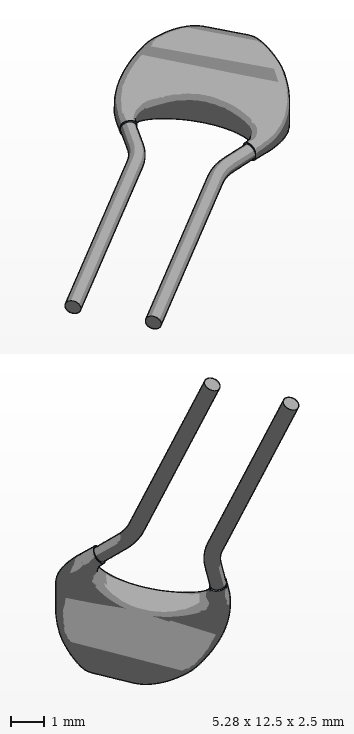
import cadquery as cq
import math

total_length = 12.5
body_half_width = 2.64
through_length = 15.0
parallel_limit = 0.999
plane_tolerance = 0.002

shoulder_angle = math.radians(45)
tip_radius = 1.46
flank_radius = 2.21
flank_y = -2.92
arch_radius = 2.64
arch_top_y = -3.0
arch_corner_radius = 0.44

bulb_radius = 1.25
bulb_y = -1.12
neck_angle = math.radians(33)
foot_half_thickness = 0.3
edge_radius = 0.24

lead_radius = 0.25
lead_half_pitch = 1.25
splay_angle = math.radians(30)
bend_radius = 1.5
bend_start_y = -5.81
foot_y = -4.31
foot_half_width = 0.26

bend_end_x = lead_half_pitch + bend_radius * (1 - math.cos(splay_angle))
bend_end_y = bend_start_y + bend_radius * math.sin(splay_angle)
foot_x = bend_end_x + (foot_y - bend_end_y) * math.tan(splay_angle)


def polar(center, radius, angle):
    """Point at an angle on a circle."""
    return (center[0] + radius * math.cos(angle), center[1] + radius * math.sin(angle))


def mirrored(point):
    """The same point on the -X side."""
    return (-point[0], point[1])


def make_plan():
    """Crown with two splayed feet and an arched gap between them."""
    tip_center = (0, -tip_radius)
    tip_end = polar(tip_center, tip_radius, shoulder_angle)
    flank_center = (body_half_width - flank_radius, flank_y)
    flank_start = polar(flank_center, flank_radius, shoulder_angle)
    flank_mid = polar(flank_center, flank_radius, 0)
    flank_end = polar(flank_center, flank_radius, -splay_angle)
    foot_outer = polar((foot_x, foot_y), foot_half_width, -splay_angle)
    foot_inner = polar((foot_x, foot_y), -foot_half_width, -splay_angle)

    arch_center = (0, arch_top_y - arch_radius)
    along = (math.sin(splay_angle), math.cos(splay_angle))
    offset = (foot_inner[0] - arch_center[0], foot_inner[1] - arch_center[1])
    reach = offset[0] * along[0] + offset[1] * along[1]
    gap = offset[0] ** 2 + offset[1] ** 2 - arch_radius ** 2
    run = -reach + math.sqrt(reach ** 2 - gap)
    arch_end = (foot_inner[0] + run * along[0], foot_inner[1] + run * along[1])

    plan = (
        cq.Workplane("XY", origin=(0, 0, -through_length / 2))
        .moveTo(*mirrored(tip_end))
        .threePointArc((0, 0), tip_end)
        .lineTo(*flank_start)
        .threePointArc(flank_mid, flank_end)
        .lineTo(*foot_outer)
        .lineTo(*foot_inner)
        .lineTo(*arch_end)
        .threePointArc((0, arch_top_y), mirrored(arch_end))
        .lineTo(*mirrored(foot_inner))
        .lineTo(*mirrored(foot_outer))
        .lineTo(*mirrored(flank_end))
        .threePointArc(mirrored(flank_mid), mirrored(flank_start))
        .close()
        .extrude(through_length)
    )
    right_corner = cq.selectors.NearestToPointSelector((*arch_end, 0))
    left_corner = cq.selectors.NearestToPointSelector((*mirrored(arch_end), 0))
    return plan.edges("|Z").edges(right_corner + left_corner).fillet(arch_corner_radius)


def make_profile():
    """Round bulb that thins through tangent concave necks to the feet, drawn in Y and Z."""
    neck_radius = (bulb_radius * math.cos(neck_angle) - foot_half_thickness) / (1 - math.cos(neck_angle))
    center_gap = bulb_radius + neck_radius
    neck_center = (
        bulb_y - center_gap * math.sin(neck_angle),
        center_gap * math.cos(neck_angle),
    )
    bulb_end = polar((bulb_y, 0), bulb_radius, math.pi / 2 + neck_angle)
    neck_mid = polar(neck_center, neck_radius, -math.pi / 2 + neck_angle / 2)
    neck_end = polar(neck_center, neck_radius, -math.pi / 2)
    return (
        cq.Workplane("YZ", origin=(-through_length / 2, 0, 0))
        .moveTo(bulb_end[0], -bulb_end[1])
        .threePointArc((bulb_y + bulb_radius, 0), bulb_end)
        .threePointArc(neck_mid, neck_end)
        .lineTo(bend_start_y, foot_half_thickness)
        .lineTo(bend_start_y, -foot_half_thickness)
        .lineTo(neck_end[0], -neck_end[1])
        .threePointArc((neck_mid[0], -neck_mid[1]), (bulb_end[0], -bulb_end[1]))
        .close()
        .extrude(through_length)
    )


def make_body():
    """Plan and profile combined, with the rims of both broad faces rounded."""
    body = make_plan().intersect(make_profile())
    foot_normal = cq.Vector(math.sin(splay_angle), math.cos(splay_angle), 0)

    def is_rim(edge):
        center = edge.Center()
        from_foot = cq.Vector(abs(center.x) - foot_x, center.y - foot_y, 0)
        at_foot = abs(from_foot.dot(foot_normal)) < plane_tolerance
        tangent = edge.tangentAt(0.5)
        upright = abs(tangent.z) > parallel_limit
        crosswise = edge.geomType() == "LINE" and abs(tangent.x) > parallel_limit
        return not (at_foot or upright or crosswise)

    return body.edges().filter(is_rim).fillet(edge_radius)


def make_lead(side):
    """Round wire from its free end, through the bend, to the foot of the body."""
    bend_mid = polar((lead_half_pitch + bend_radius, bend_start_y), bend_radius, math.pi - splay_angle / 2)
    path = (
        cq.Workplane("XY")
        .moveTo(side * lead_half_pitch, -total_length)
        .lineTo(side * lead_half_pitch, bend_start_y)
        .threePointArc((side * bend_mid[0], bend_mid[1]), (side * bend_end_x, bend_end_y))
        .lineTo(side * foot_x, foot_y)
    )
    section = cq.Workplane("XZ", origin=(side * lead_half_pitch, -total_length, 0)).circle(lead_radius)
    return section.sweep(path)


body = make_body()
leads = [make_lead(side) for side in (-1, 1)]
result = cq.Compound.makeCompound([body.solids().val(), *[lead.val() for lead in leads]])